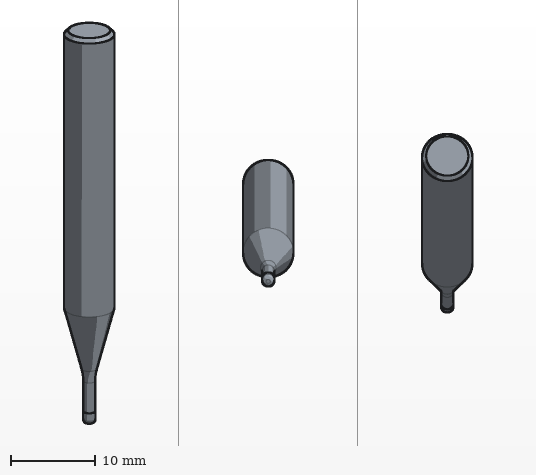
import cadquery as cq
import math

overall_length = 50.0
shank_diameter = 6.0
shank_chamfer = 0.5

head_diameter = 1.5
head_length = 1.5
corner_radius = 0.5

neck_diameter = 1.44
relief_length = 0.1
neck_end_z = 5.35

cone_half_angle = math.radians(15.0)
blend_radius = 6.0

head_radius = head_diameter / 2
neck_radius = neck_diameter / 2
shank_radius = shank_diameter / 2


def blend_point(angle):
    """Radius and height on the neck blend, at the given tangent angle from the axis."""
    radius = neck_radius + blend_radius * (1 - math.cos(angle))
    height = neck_end_z + blend_radius * math.sin(angle)
    return radius, height


def make_cutting_head():
    """Short cylinder with a rounded corner around its flat tip."""
    head = cq.Workplane("XY").circle(head_radius).extrude(head_length)
    return head.faces("<Z").edges().fillet(corner_radius)


def make_shank():
    """Neck, blend, cone and chamfered shank, revolved as one body."""
    cone_start_radius, cone_start_z = blend_point(cone_half_angle)
    cone_end_z = cone_start_z + (shank_radius - cone_start_radius) / math.tan(cone_half_angle)
    profile = (
        cq.Workplane("XZ")
        .moveTo(0, head_length)
        .lineTo(head_radius, head_length)
        .lineTo(neck_radius, head_length + relief_length)
        .lineTo(neck_radius, neck_end_z)
        .threePointArc(blend_point(cone_half_angle / 2), (cone_start_radius, cone_start_z))
        .lineTo(shank_radius, cone_end_z)
        .lineTo(shank_radius, overall_length - shank_chamfer)
        .lineTo(shank_radius - shank_chamfer, overall_length)
        .lineTo(0, overall_length)
        .close()
    )
    return profile.revolve(360, (0, 0, 0), (0, 1, 0))


cutting_head = make_cutting_head()
shank = make_shank()

result = cq.Compound.makeCompound([cutting_head.val(), shank.val()])